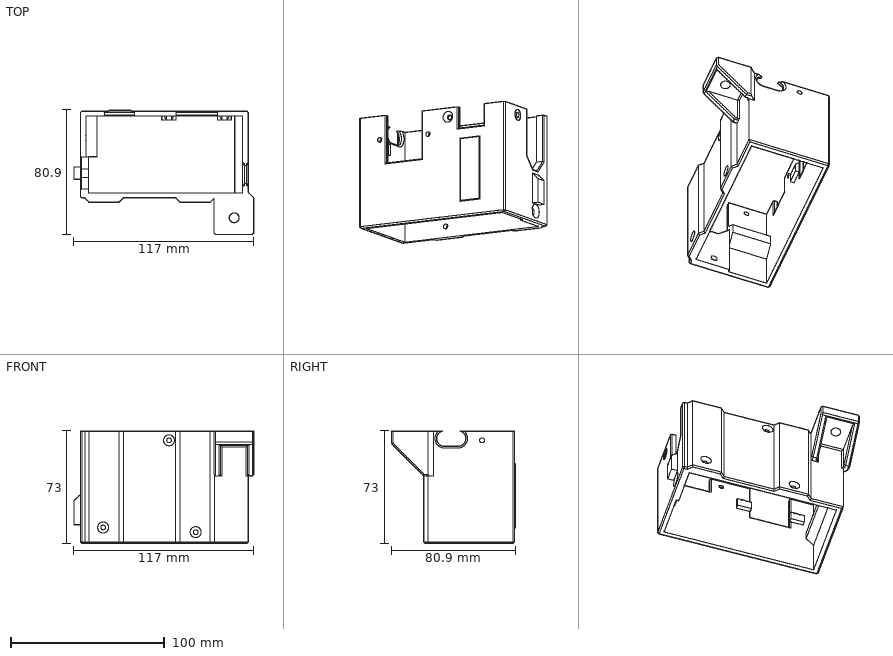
import cadquery as cq

BOX_LENGTH = 109.3
BOX_DEPTH = 56.4
HEIGHT = 73.0
FRONT_WALL = 3.3
BACK_WALL = 3.3
LEFT_WALL = 3.6
LEFT_WALL_THICK = 5.4
RIGHT_WALL = 3.9
EDGE_CHAMFER = 1.0
RIM_BEVEL = 0.7
BEVEL_ANGLE = 45
BACK_INNER = BOX_DEPTH - BACK_WALL
RIGHT_INNER = BOX_LENGTH - RIGHT_WALL

RIB_SPANS = [(2.9, 28.1), (62.0, 87.3)]
RIB_HEIGHT = 2.8

TAB_LEFT = 86.8
TAB_RIGHT = 112.9
TAB_REACH = 23.8
TAB_EDGE_HEIGHT = 8.1
TAB_BOTTOM = HEIGHT - TAB_EDGE_HEIGHT - (TAB_REACH - RIB_HEIGHT)
TAB_PLATE = 9.2
TAB_RIB_LEFT = 4.3
TAB_RIB_RIGHT = 4.1
TAB_OVERHANG = TAB_RIGHT - BOX_LENGTH
TAB_HOLE_DIAMETER = 6.2
TAB_HOLE_X = 100.0
TAB_HOLE_Y = -12.9

LEDGE_MIDDLE_Z = 35.9
LEDGE_FLAT = 6.2
RIGHT_LEDGE = 5.1
LEFT_LEDGE = 7.4
LEFT_LEDGE_FLAT = 8.0

NOTCH_FRONT = 5.7
NOTCH_BACK = 26.7
NOTCH_FLOOR_Z = 34.5
NOTCH_CORNER = 7.7

OPENING_DIAMETER = 10.0
OPENING_LENGTH = 18.8
OPENING_Y = 15.2
OPENING_Z = 68.2
OPENING_BEVEL = 1.2

BACK_CUTOUTS = [(15.8, 35.1, 58.9), (62.4, 89.2, 41.4)]

CATCH_SPANS = [(52.9, 62.4), (89.2, 98.3)]
CATCH_BOTTOM = 47.3
CATCH_TOP = 57.1
CATCH_DEPTH = 2.6
NUT_DIAMETER = 6.2
NUT_SIDES = 6
NUT_Z = CATCH_TOP

SCREW_DIAMETER = 3.0
HEAD_DIAMETER = 7.1
FRONT_SCREWS = [(14.9, 10.4, -RIB_HEIGHT), (57.7, 67.0, 0), (75.0, 7.4, -RIB_HEIGHT)]
BACK_SCREW_X = 42.6
BACK_SCREW_Z = 67.0
END_SCREW_DIAMETER = 3.2
LEFT_END_SCREW_Y = 39.1
RIGHT_END_SCREW_Y = 35.2
END_SCREW_Z = 67.0
END_RECESS_DEPTH = 0.2
LARGE_SCREW_DIAMETER = 4.2
LARGE_HEAD_DIAMETER = 9.1
LARGE_SCREW_Y = 15.9
LARGE_SCREW_Z = 7.3

PEG_REACH = 4.1
PEG_FRONT = 12.0
PEG_BACK = 20.2
PEG_BOTTOM = 12.0
PEG_TOP = 31.8

PAD_LEFT = 18.5
PAD_RIGHT = 33.2
PAD_BOTTOM = 10.0
PAD_TOP = 51.8
PAD_HEIGHT = 0.7
PAD_BEVEL = 0.5

ALONG_X = cq.Vector(1, 0, 0)
ALONG_Y = cq.Vector(0, 1, 0)
OVERCUT = 1.2


def block(x0, x1, y0, y1, z0, z1):
    return cq.Workplane("XY").box(x1 - x0, y1 - y0, z1 - z0, centered=False).translate((x0, y0, z0))


def prism_along_x(points_yz, x0, x1):
    return cq.Workplane("YZ").workplane(offset=x0).polyline(points_yz).close().extrude(x1 - x0)


def prism_along_y(points_xz, y0, y1):
    return cq.Workplane("XZ").workplane(offset=-y0).polyline(points_xz).close().extrude(y0 - y1)


def drill(start, direction, diameter, length):
    return cq.Workplane(cq.Solid.makeCylinder(diameter / 2, length, cq.Vector(*start), direction))


def countersunk(start, direction, diameter, head_diameter, length):
    """Through hole with a 45 degree countersink at its start."""
    depth = (head_diameter - diameter) / 2
    sink = cq.Solid.makeCone(head_diameter / 2, diameter / 2, depth, cq.Vector(*start), direction)
    return drill(start, direction, diameter, length).union(cq.Workplane(sink))


def make_body():
    c = EDGE_CHAMFER
    outline = [(c, 0)]
    for left, right in RIB_SPANS:
        outline += [
            (left, 0),
            (left + RIB_HEIGHT, -RIB_HEIGHT),
            (right - RIB_HEIGHT, -RIB_HEIGHT),
            (right, 0),
        ]
    outline += [
        (BOX_LENGTH, 0),
        (BOX_LENGTH, BOX_DEPTH - c),
        (BOX_LENGTH - c, BOX_DEPTH),
        (c, BOX_DEPTH),
        (0, BOX_DEPTH - c),
        (0, c),
    ]
    return cq.Workplane("XY").polyline(outline).close().extrude(HEIGHT).faces("<Z").chamfer(c)


def make_tab():
    """Plate carried by two gussets whose undersides slope at 45 degrees."""
    back = TAB_OVERHANG
    side = [
        (back, HEIGHT),
        (-TAB_REACH, HEIGHT),
        (-TAB_REACH, HEIGHT - TAB_EDGE_HEIGHT),
        (-RIB_HEIGHT, TAB_BOTTOM),
        (back, TAB_BOTTOM),
    ]
    tab = prism_along_x(side, TAB_LEFT, TAB_RIGHT)
    slope_edges = tab.faces("<(0,1,1)").edges("not <Z")
    outer_edges = slope_edges.add(tab.faces("<Y").edges("|Z")).add(tab.faces("<Z").edges("|Y"))
    tab = outer_edges.chamfer(EDGE_CHAMFER)

    left = TAB_LEFT + TAB_RIB_LEFT
    right = TAB_RIGHT - TAB_RIB_RIGHT
    bottom = TAB_BOTTOM - OVERCUT
    top = HEIGHT - TAB_PLATE
    tab = tab.cut(block(left, right, -TAB_REACH - OVERCUT, -EDGE_CHAMFER, bottom, top))
    hollow_span = cq.selectors.BoxSelector(
        (left - EDGE_CHAMFER, -TAB_REACH, TAB_BOTTOM - OVERCUT), (right + EDGE_CHAMFER, 0, top)
    )
    gusset_faces = tab.faces("<(0,1,1)").add(tab.faces("<Z"))
    tab = gusset_faces.edges(hollow_span).edges("not |X").chamfer(EDGE_CHAMFER)

    hollow_end = (
        cq.Workplane("XZ", origin=((left + right) / 2, -EDGE_CHAMFER, (bottom + top) / 2))
        .rect(right - left, top - bottom)
        .extrude(-EDGE_CHAMFER, taper=BEVEL_ANGLE)
    )
    tab = tab.cut(hollow_end)

    corner = [(BOX_LENGTH, back), (TAB_RIGHT, back), (TAB_RIGHT, 0)]
    tab = tab.cut(cq.Workplane("XY").polyline(corner).close().extrude(HEIGHT))
    hole_start = (TAB_HOLE_X, TAB_HOLE_Y, HEIGHT)
    return tab.cut(drill(hole_start, cq.Vector(0, 0, -1), TAB_HOLE_DIAMETER, HEIGHT))


def make_cavity():
    front = block(LEFT_WALL_THICK, RIGHT_INNER, FRONT_WALL, BACK_INNER, 0, HEIGHT)
    rear = block(LEFT_WALL, RIGHT_INNER, NOTCH_BACK, BACK_INNER, 0, HEIGHT)
    return front.union(rear)


def make_ledge(wall_x, inward, flat, y0, y1):
    """Ledge reaching from a wall by the signed distance inward."""
    lower = LEDGE_MIDDLE_Z - LEDGE_FLAT / 2
    upper = lower + flat
    profile = [
        (wall_x, lower - abs(inward)),
        (wall_x + inward, lower),
        (wall_x + inward, upper),
        (wall_x, upper + abs(inward)),
    ]
    return prism_along_y(profile, y0, y1)


def make_notch():
    """Left wall notch, bevelled at the outer face."""
    top = HEIGHT + OVERCUT
    outline = [
        (NOTCH_FRONT, top),
        (NOTCH_FRONT, NOTCH_FLOOR_Z + NOTCH_CORNER),
        (NOTCH_FRONT + NOTCH_CORNER, NOTCH_FLOOR_Z),
        (NOTCH_BACK - NOTCH_CORNER, NOTCH_FLOOR_Z),
        (NOTCH_BACK, NOTCH_FLOOR_Z + NOTCH_CORNER),
        (NOTCH_BACK, top),
    ]
    opening = prism_along_x(outline, 0, LEFT_WALL_THICK)
    bevel = (
        cq.Workplane("YZ").polyline(outline).close()
        .offset2D(RIM_BEVEL, "intersection")
        .extrude(RIM_BEVEL, taper=BEVEL_ANGLE)
    )
    return opening.union(bevel)


def make_cable_opening():
    slot = (
        cq.Workplane("YZ", origin=(RIGHT_INNER, OPENING_Y, OPENING_Z))
        .slot2D(OPENING_LENGTH, OPENING_DIAMETER)
        .extrude(RIGHT_WALL)
    )
    rim_length = OPENING_LENGTH + 2 * OPENING_BEVEL
    rim_diameter = OPENING_DIAMETER + 2 * OPENING_BEVEL
    for face_x, depth in [(RIGHT_INNER, OPENING_BEVEL), (BOX_LENGTH, -OPENING_BEVEL)]:
        rim = (
            cq.Workplane("YZ", origin=(face_x, OPENING_Y, OPENING_Z))
            .slot2D(rim_length, rim_diameter)
            .extrude(depth, taper=BEVEL_ANGLE)
        )
        slot = slot.union(rim)
    return slot


def make_back_cutout(left, right, floor):
    """Cutout open at the top, bevelled at both faces of the back wall."""
    top = HEIGHT + OVERCUT
    cutout = block(left, right, BACK_INNER, BOX_DEPTH, floor, top)
    for face_y, depth in [(BACK_INNER, -RIM_BEVEL), (BOX_DEPTH, RIM_BEVEL)]:
        rim = (
            cq.Workplane("XZ", origin=((left + right) / 2, face_y, (floor + top) / 2))
            .rect(right - left + 2 * RIM_BEVEL, top - floor + 2 * RIM_BEVEL)
            .extrude(depth, taper=BEVEL_ANGLE)
        )
        cutout = cutout.union(rim)
    return cutout


def make_catch(left, right):
    """Block with a sloped top and a seat for a hexagon nut."""
    front = BACK_INNER - CATCH_DEPTH
    side = [
        (BACK_INNER, CATCH_BOTTOM),
        (front, CATCH_BOTTOM),
        (front, CATCH_TOP - CATCH_DEPTH),
        (BACK_INNER, CATCH_TOP),
    ]
    seat = (
        cq.Workplane("XZ", origin=((left + right) / 2, BACK_INNER, NUT_Z))
        .polygon(NUT_SIDES, NUT_DIAMETER)
        .extrude(CATCH_DEPTH)
    )
    return prism_along_x(side, left, right).cut(seat)


def make_peg():
    profile = [(0, PEG_BOTTOM), (-PEG_REACH, PEG_BOTTOM), (-PEG_REACH, PEG_TOP - PEG_REACH), (0, PEG_TOP)]
    return prism_along_y(profile, PEG_FRONT, PEG_BACK)


def make_pad():
    pad = block(PAD_LEFT, PAD_RIGHT, BOX_DEPTH, BOX_DEPTH + PAD_HEIGHT, PAD_BOTTOM, PAD_TOP)
    return pad.faces(">Y").chamfer(PAD_BEVEL)


def make_screw_holes():
    holes = cq.Workplane("XY")
    for x, z, face_y in FRONT_SCREWS:
        length = FRONT_WALL - face_y
        holes = holes.add(countersunk((x, face_y, z), ALONG_Y, SCREW_DIAMETER, HEAD_DIAMETER, length))

    back_start = (BACK_SCREW_X, BOX_DEPTH, BACK_SCREW_Z)
    holes = holes.add(countersunk(back_start, -ALONG_Y, SCREW_DIAMETER, HEAD_DIAMETER, BACK_WALL))
    for left, right in CATCH_SPANS:
        nut_center = ((left + right) / 2, BACK_INNER, NUT_Z)
        holes = holes.add(drill(nut_center, ALONG_Y, SCREW_DIAMETER, BACK_WALL))

    left_start = (0, LEFT_END_SCREW_Y, END_SCREW_Z)
    right_start = (RIGHT_INNER, RIGHT_END_SCREW_Y, END_SCREW_Z)
    holes = holes.add(drill(left_start, ALONG_X, END_SCREW_DIAMETER, LEFT_WALL))
    holes = holes.add(drill(left_start, ALONG_X, HEAD_DIAMETER, END_RECESS_DEPTH))
    holes = holes.add(drill(right_start, ALONG_X, END_SCREW_DIAMETER, RIGHT_WALL))

    large_start = (0, LARGE_SCREW_Y, LARGE_SCREW_Z)
    large = countersunk(large_start, ALONG_X, LARGE_SCREW_DIAMETER, LARGE_HEAD_DIAMETER, LEFT_WALL_THICK)
    return holes.add(large).vals()


result = make_body().union(make_tab()).cut(make_cavity())
result = result.union(make_ledge(LEFT_WALL, LEFT_LEDGE, LEFT_LEDGE_FLAT, NOTCH_BACK, BACK_INNER))
result = result.union(make_ledge(RIGHT_INNER, -RIGHT_LEDGE, LEDGE_FLAT, FRONT_WALL, BACK_INNER))
result = result.cut(make_notch()).cut(make_cable_opening())
for cutout_span in BACK_CUTOUTS:
    result = result.cut(make_back_cutout(*cutout_span))
for catch_span in CATCH_SPANS:
    result = result.union(make_catch(*catch_span))
result = result.union(make_peg()).union(make_pad())
for hole in make_screw_holes():
    result = result.cut(cq.Workplane(hole))